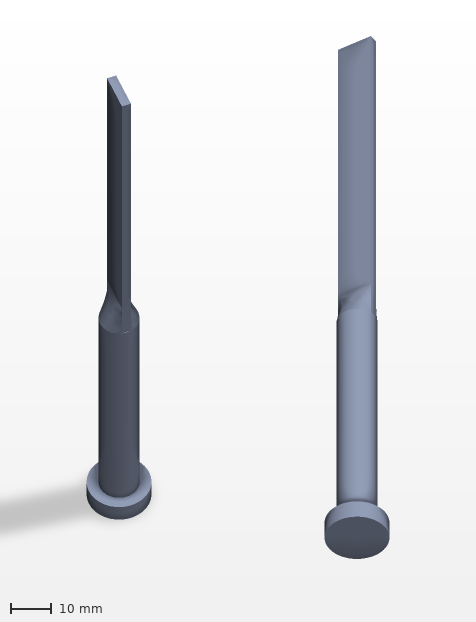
import cadquery as cq
import math

total_length = 160.0
head_diameter = 16.0
head_thickness = 5.0
shaft_diameter = 10.0
shaft_top = 70.0
blade_width = 9.6
blade_thickness = 2.4
blade_bottom = total_length / 2

shaft_radius = shaft_diameter / 2
half_thickness = blade_thickness / 2
chord_half_width = math.sqrt(shaft_radius**2 - half_thickness**2)


def make_round_body():
    """Flat head at the bottom with the round shaft standing on it."""
    head = cq.Workplane("XY").circle(head_diameter / 2).extrude(head_thickness)
    shaft = cq.Workplane("XY").circle(shaft_radius).extrude(shaft_top)
    return head.union(shaft)


def make_transition():
    """Ruled taper from the shaft, with two flat sides, to the blade rectangle."""
    return (
        cq.Workplane("XY", origin=(0, 0, shaft_top))
        .moveTo(-chord_half_width, -half_thickness)
        .threePointArc((0, -shaft_radius), (chord_half_width, -half_thickness))
        .lineTo(chord_half_width, half_thickness)
        .threePointArc((0, shaft_radius), (-chord_half_width, half_thickness))
        .close()
        .workplane(offset=blade_bottom - shaft_top)
        .moveTo(-blade_width / 2, -half_thickness)
        .lineTo(blade_width / 2, -half_thickness)
        .lineTo(blade_width / 2, half_thickness)
        .lineTo(-blade_width / 2, half_thickness)
        .close()
        .loft(ruled=True)
    )


def make_blade():
    """Thin rectangular blade, broad faces toward -Y and +Y."""
    return (
        cq.Workplane("XY", origin=(0, 0, blade_bottom))
        .rect(blade_width, blade_thickness)
        .extrude(total_length - blade_bottom)
    )


result = make_round_body().union(make_transition()).union(make_blade())